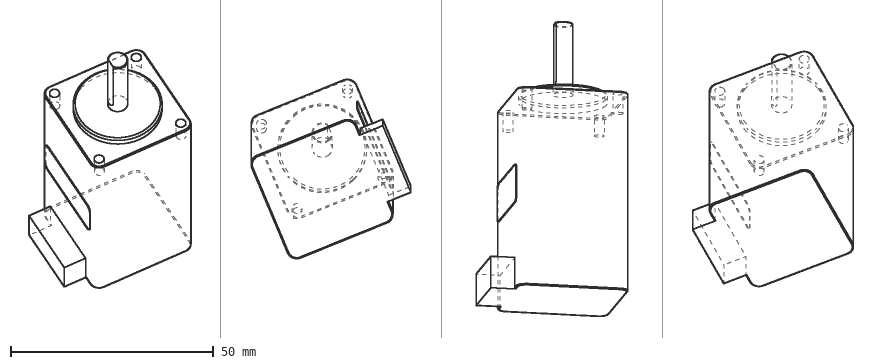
import cadquery as cq
import math

body_width = 28.0
body_height = 50.5
corner_radius = 2.5
body_edge_chamfer = 0.3
front_face_y = -body_width / 2

hole_diameter = 2.5
hole_spacing = 23.0
hole_depth = 5.0

pilot_diameter = 22.0
pilot_height = 2.0
pilot_chamfer = 0.5

total_height = 70.5
shaft_diameter = 5.0
shaft_radius = shaft_diameter / 2
shaft_tip_chamfer = 0.2
flat_depth = 0.5
flat_length = 14.95
cutter_radius = shaft_radius

plate_width = body_width - 2 * corner_radius
plate_height = 9.6
plate_thickness = 0.2
plate_corner_radius = 1.5
plate_center_z = 26.7

connector_width = 18.2
connector_height = 8.05
connector_depth = 6.0
connector_seat = 2.5


def make_body():
    """Square column with rounded corners, chamfered ends and four blind holes."""
    return (
        cq.Workplane("XY")
        .rect(body_width, body_width)
        .extrude(body_height)
        .edges("|Z")
        .fillet(corner_radius)
        .faces("<Z or >Z")
        .chamfer(body_edge_chamfer)
        .faces(">Z")
        .workplane(origin=(0, 0, body_height))
        .rect(hole_spacing, hole_spacing, forConstruction=True)
        .vertices()
        .hole(hole_diameter, hole_depth)
    )


def make_pilot():
    """Low round boss with a chamfered rim."""
    return (
        cq.Workplane("XY", origin=(0, 0, body_height))
        .circle(pilot_diameter / 2)
        .extrude(pilot_height)
        .faces(">Z")
        .chamfer(pilot_chamfer)
    )


def make_shaft():
    """Round shaft whose flat runs out in a concave arc left by the cutter."""
    shaft = (
        cq.Workplane("XY", origin=(0, 0, body_height))
        .circle(shaft_radius)
        .extrude(total_height - body_height)
        .faces(">Z")
        .chamfer(shaft_tip_chamfer)
    )
    flat_y = flat_depth - shaft_radius
    flat_end_z = total_height - flat_length
    arc_center_y = flat_y - cutter_radius
    arc_offset = cutter_radius * math.sin(math.pi / 4)
    flat_cut = (
        cq.Workplane("YZ")
        .moveTo(flat_y, total_height)
        .lineTo(flat_y, flat_end_z)
        .threePointArc(
            (arc_center_y + arc_offset, flat_end_z - arc_offset),
            (arc_center_y, flat_end_z - cutter_radius),
        )
        .lineTo(arc_center_y, total_height)
        .close()
        .extrude(shaft_radius, both=True)
    )
    return shaft.cut(flat_cut)


def make_plate():
    """Thin raised plate with rounded corners."""
    return (
        cq.Workplane("XZ", origin=(0, front_face_y, plate_center_z))
        .rect(plate_width, plate_height)
        .extrude(plate_thickness)
        .edges("|Y")
        .fillet(plate_corner_radius)
    )


def make_connector():
    """Plain block reaching forward from the body, partly embedded in it."""
    return cq.Workplane("XY").box(
        connector_width,
        connector_depth + connector_seat,
        connector_height,
        centered=(True, False, False),
    ).translate((0, front_face_y - connector_depth, 0))


result = make_body()
for piece in (make_pilot(), make_shaft(), make_plate(), make_connector()):
    result = result.union(piece)